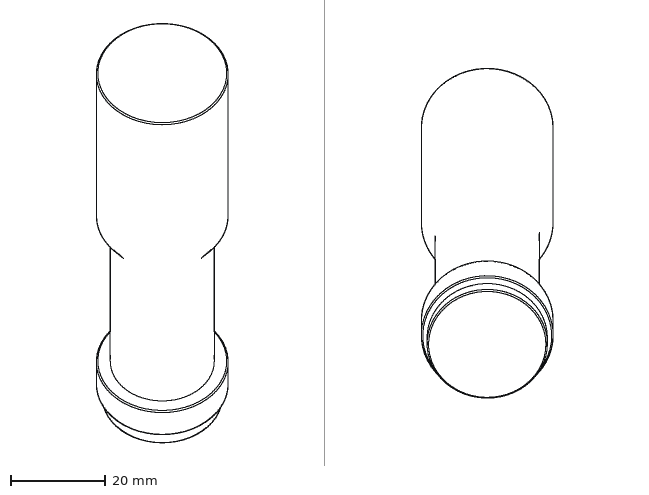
import cadquery as cq
import math

total_height = 107.3
body_diameter = 28.0
body_radius = body_diameter / 2

rim_radius = 12.8
rim_height = 3.2
groove_radius = 12.1
collar_bottom = 4.2
collar_top = 12.1

neck_radius = 11.0
cone_bottom = 54.8
cone_half_angle = 30.0
cone_height = (body_radius - neck_radius) / math.tan(math.radians(cone_half_angle))
cone_top = cone_bottom + cone_height
cone_blend_radius = 1.1

edge_chamfer = 0.3


def disc(radius, bottom, top):
    """Upright cylinder on the Z axis between two heights."""
    return cq.Workplane("XY").workplane(offset=bottom).circle(radius).extrude(top - bottom)


def make_foot():
    """Chamfered rim and collar with a shallow groove between them."""
    rim = disc(rim_radius, 0, rim_height).faces("<Z").chamfer(edge_chamfer)
    groove = disc(groove_radius, rim_height, collar_bottom)
    collar = disc(body_radius, collar_bottom, collar_top).faces("<Z or >Z").chamfer(edge_chamfer)
    return rim.union(groove).union(collar)


def make_shaft():
    """Neck and upper body joined by a cone with rounded ends."""
    profile = [
        (0, collar_top),
        (neck_radius, collar_top),
        (neck_radius, cone_bottom),
        (body_radius, cone_top),
        (body_radius, total_height),
        (0, total_height),
    ]
    shaft = cq.Workplane("XZ").polyline(profile).close().revolve(360, (0, 0, 0), (0, 1, 0))
    cone_ends = shaft.faces("%CONE").edges("%CIRCLE")
    shaft = cone_ends.fillet(cone_blend_radius)
    return shaft.faces(">Z").chamfer(edge_chamfer)


result = make_foot().union(make_shaft())
result = result.translate((0, 0, -total_height / 2))